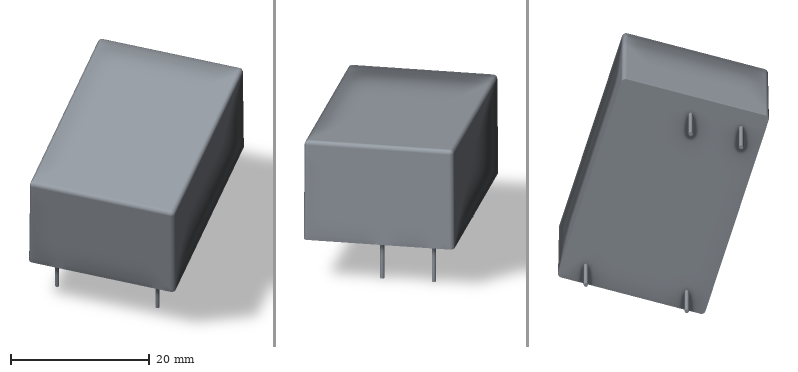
import cadquery as cq
import math

WIDTH = 22.2
LENGTH = 33.7
HEIGHT = 21.3

BASE_HEIGHT = 0.7
EDGE_RADIUS = 0.6
TOP_INSET = 0.115

PIN_LENGTH = 6.15
PIN_DIAMETER = 0.6
PIN_PITCH = 7.6
PIN_ROW_Y = 13.95

case_height = HEIGHT - PIN_LENGTH - BASE_HEIGHT
taper_angle = math.degrees(math.atan2(TOP_INSET, case_height))

pin_positions = [
    (-PIN_PITCH, -PIN_ROW_Y),
    (PIN_PITCH, -PIN_ROW_Y),
    (-PIN_PITCH, PIN_ROW_Y),
    (0, PIN_ROW_Y),
]


def make_base():
    """Flat plate with rounded corners and its underside on Z = 0."""
    plate = cq.Workplane("XY").rect(WIDTH, LENGTH).extrude(BASE_HEIGHT)
    return plate.edges("|Z").fillet(EDGE_RADIUS).solids()


def make_case():
    """Block on the base that narrows upward, rounded at its corners and top rim."""
    block = (
        cq.Workplane("XY")
        .workplane(offset=BASE_HEIGHT)
        .rect(WIDTH, LENGTH)
        .extrude(case_height, taper=taper_angle)
    )
    return block.edges("not <Z").fillet(EDGE_RADIUS).solids()


def make_pin(x, y):
    """Round terminal that hangs from the underside of the base."""
    return cq.Workplane("XY").center(x, y).circle(PIN_DIAMETER / 2).extrude(-PIN_LENGTH)


base = make_base()
case = make_case()
pins = [make_pin(x, y) for x, y in pin_positions]

result = cq.Compound.makeCompound([base.val(), case.val(), *[pin.val() for pin in pins]])